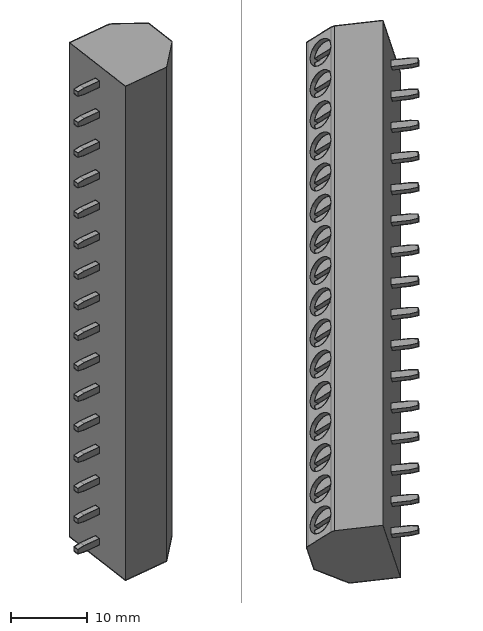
import cadquery as cq

height = 81.0
width = 12.0
total_depth = 14.3
pin_length = 3.6
body_depth = total_depth - pin_length

screw_slope_width = 2.6
screw_slope_depth = 3.6
lower_lip_width = 0.2
lower_lip_depth = 0.5
upper_lip_width = 0.2
upper_lip_depth = 0.25
plain_slope = 4.0

pole_count = 16
end_margin = 3.0
pitch = (height - 2 * end_margin) / (pole_count - 1)

pin_width = 0.8
pin_height = 1.05
taper_length = 1.05
tip_height = 0.7

screw_diameter = 4.0
screw_centre_fall = 2.2
recess_depth = 0.7
slot_width = 0.7
slot_depth = 1.0

left = -width / 2
right = width / 2
front = 0.0
back = body_depth
slope_low = (left + lower_lip_width, back - upper_lip_depth - screw_slope_depth)
slope_high = (slope_low[0] + screw_slope_width, back - upper_lip_depth)
pole_heights = [end_margin + i * pitch for i in range(pole_count)]


def make_housing():
    outline = [
        (left, front),
        (right, front),
        (right, back - plain_slope),
        (right - plain_slope, back),
        (slope_high[0] + upper_lip_width, back),
        slope_high,
        slope_low,
        (left, slope_low[1] - lower_lip_depth),
    ]
    return cq.Workplane("XY").polyline(outline).close().extrude(height)


def make_pin(z):
    shank_length = pin_length - taper_length
    shank = cq.Workplane("XZ", origin=(0, front, z)).rect(pin_width, pin_height).extrude(shank_length)
    return (
        shank.faces("<Y").workplane().rect(pin_width, pin_height)
        .workplane(offset=taper_length).rect(pin_width, tip_height).loft(combine=True)
    )


def make_screw_cut(z):
    screw_y = back - screw_centre_fall
    screw_x = slope_low[0] + (screw_y - slope_low[1]) * screw_slope_width / screw_slope_depth
    face = cq.Plane(
        origin=(screw_x, screw_y, z),
        xDir=(screw_slope_width, screw_slope_depth, 0),
        normal=(-screw_slope_depth, screw_slope_width, 0),
    )
    recess = cq.Workplane(face).circle(screw_diameter / 2).extrude(-recess_depth)
    floor = cq.Workplane(face).workplane(offset=-recess_depth)
    disc = floor.circle(screw_diameter / 2).extrude(-slot_depth)
    slot = floor.rect(screw_diameter, slot_width).extrude(-slot_depth).intersect(disc)
    return recess.union(slot)


result = make_housing()
for z in pole_heights:
    result = result.union(make_pin(z)).cut(make_screw_cut(z))